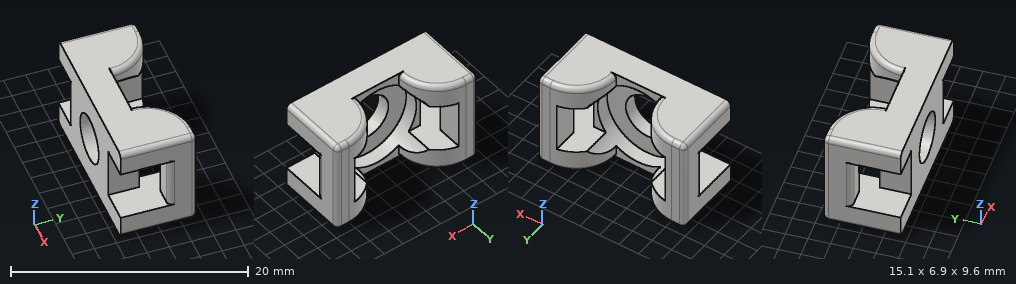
import cadquery as cq

length = 15.1
depth = 6.9
width = 9.6
edge_radius = 0.5

web_thickness = 2.8
horn_arc_radius = 4.0
horn_gap = 4.5

screw_hole_diameter = 4.5
head_recess_diameter = 8.3
head_seat_y = 1.4

tie_width = 5.0
notch_length = 3.0
post_length = 2.0
post_face_y = 4.3
post_lead_in_radius = 0.5

half_length = length / 2
half_gap = horn_gap / 2
post_inner_x = half_length - post_length


def make_horn_end():
    """Block on the +X side, from the horn tip to the end, with its outer edges rounded."""
    horn_length = half_length - half_gap
    block = cq.Workplane("XY").box(horn_length, depth, width, centered=(False, False, True))
    block = block.translate((half_gap, 0, 0))
    block = block.edges("<X and >Y").fillet(horn_arc_radius)
    block = block.edges(">X and |Y").fillet(edge_radius)
    return block.faces(">Y").edges("not(<X)").fillet(edge_radius)


def make_web():
    """Flat plate that joins the two horns."""
    web_length = length - 2 * horn_arc_radius
    return cq.Workplane("XY").box(web_length, web_thickness, width, centered=(True, False, True))


def slot(x_min, x_max, y_min, y_max):
    """Cutter as wide as the tie that spans the given X and Y range."""
    return (
        cq.Workplane("XY")
        .box(x_max - x_min, y_max - y_min, tie_width, centered=(False, False, True))
        .translate((x_min, y_min, 0))
    )


def make_tie_passage():
    """Cutter for the end notches, the gap behind the web and the rounded post corners."""
    between_posts = slot(-post_inner_x, post_inner_x, web_thickness, depth)
    across = slot(-half_length, half_length, web_thickness, post_face_y)
    right_notch = slot(half_length - notch_length, half_length, 0, post_face_y)
    right_end = right_notch.union(make_post_lead_in())
    return between_posts.union(across).union(right_end).union(right_end.mirror("YZ"))


def make_post_lead_in():
    """Cutter that rounds the outer corner of the +X post where the tie enters."""
    corner_x = half_length - post_lead_in_radius
    corner_y = post_face_y + post_lead_in_radius
    corner = slot(corner_x, half_length, post_face_y, corner_y)
    rounding = (
        cq.Workplane("XY", origin=(corner_x, corner_y, -tie_width / 2))
        .circle(post_lead_in_radius)
        .extrude(tie_width)
    )
    return corner.cut(rounding)


def cylinder_along_y(diameter, y_min, y_max):
    """Round cutter on the Y axis."""
    return (
        cq.Workplane("XZ", origin=(0, y_min, 0))
        .circle(diameter / 2)
        .extrude(y_min - y_max)
    )


right_horn = make_horn_end()
body = make_web().union(right_horn).union(right_horn.mirror("YZ"))
body = body.cut(make_tie_passage())
body = body.cut(cylinder_along_y(screw_hole_diameter, 0, web_thickness))
body = body.cut(cylinder_along_y(head_recess_diameter, head_seat_y, depth))
result = body.clean()